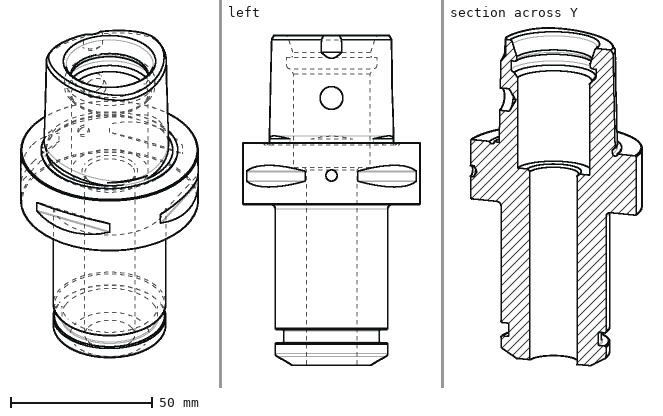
import cadquery as cq
import math

TOTAL_HEIGHT = 117.0
FLANGE_TOP_Z = 79.0
FLANGE_BOTTOM_Z = 57.0
SHANK_BOTTOM_Z = 12.6
RING_TOP_Z = 8.0

FLANGE_RADIUS = 63.0 / 2
FLANGE_CHAMFER = 0.4
SHANK_RADIUS = 40.0 / 2
SHANK_FILLET = 1.5
GROOVE_RADIUS = 34.0 / 2
GROOVE_CHAMFER = 0.5
GROOVE_FILLET = 0.4
NOSE_RADIUS = 28.0 / 2
NOSE_SLOPE_ANGLE = 30.0
NOSE_FILLET = 1.3

TAPER_BOTTOM_Z = 81.3
TAPER_WIDTH = 44.1
TAPER_RATE = 0.045
LOBE_RISE = 1.4
LOBES = 3
OUTLINE_POINTS = 48
TOP_CHAMFER_HEIGHT = 1.5
TOP_CHAMFER_INSET = 0.8

NECK_RADIUS = 22.5
RELIEF_OUTER_RADIUS = 24.2
RELIEF_CONE_HEIGHT = 1.0

MOUTH_OUTER_RADIUS = 16.4
MOUTH_INNER_RADIUS = 15.5
MOUTH_FILLET = 1.4
MOUTH_FILLET_HEIGHT = 1.2
CLAMP_GROOVE_RADIUS = 32.0 / 2
LIP_RADIUS = 13.8
LIP_TOP_Z = 111.0
LIP_HEIGHT = 0.8
LIP_FILLET = 1.0
CLAMP_GROOVE_BOTTOM_Z = 106.5
GROOVE_FLOOR_FILLET = 1.4
SEAT_RADIUS = 14.9
SEAT_Z = 105.2
BORE_RADIUS = 13.6
BORE_TOP_Z = 103.4
BORE_FLOOR_Z = 70.2
THROUGH_RADIUS = 17.8 / 2
THROUGH_CHAMFER = 0.9

DRILL_POINT_ANGLE = 118.0
COOLANT_HOLE_RADIUS = 8.1 / 2
COOLANT_HOLE_Z = 94.8
COOLANT_HOLE_DEPTH = 3.5
MARK_HOLE_RADIUS = 4.0 / 2
MARK_HOLE_Z = 67.3
MARK_HOLE_DEPTH = 1.2
NOTCH_RADIUS = 4.8
NOTCH_INNER_X = -18.1
NOTCH_DEPTH = 6.1
NOTCH_POINT_ANGLE = 84.0

SLOT_COUNT = 4
SLOT_FLOOR_RADIUS = 27.8
SLOT_FLOOR_HEIGHT = 3.5
SLOT_FLOOR_FILLET = 0.4
SLOT_FLANK_ANGLE = 30.0
SLOT_Z = 67.0


def turned_body():
    """Flange, shank, ring groove and coned nose as one revolved section."""
    nose_slope = math.radians(NOSE_SLOPE_ANGLE)
    nose_corner_z = (SHANK_RADIUS - NOSE_RADIUS) * math.tan(nose_slope)
    corner_trim = NOSE_FILLET * math.tan((math.pi / 2 - nose_slope) / 2)
    cone_end_radius = SHANK_RADIUS - corner_trim * math.cos(nose_slope)
    cone_end_z = nose_corner_z - corner_trim * math.sin(nose_slope)
    return (
        cq.Workplane("XZ")
        .moveTo(0, 0)
        .lineTo(NOSE_RADIUS, 0)
        .lineTo(cone_end_radius, cone_end_z)
        .radiusArc((SHANK_RADIUS, nose_corner_z + corner_trim), -NOSE_FILLET)
        .lineTo(SHANK_RADIUS, RING_TOP_Z - GROOVE_CHAMFER)
        .lineTo(SHANK_RADIUS - GROOVE_CHAMFER, RING_TOP_Z)
        .lineTo(GROOVE_RADIUS + GROOVE_FILLET, RING_TOP_Z)
        .radiusArc((GROOVE_RADIUS, RING_TOP_Z + GROOVE_FILLET), GROOVE_FILLET)
        .lineTo(GROOVE_RADIUS, SHANK_BOTTOM_Z - GROOVE_FILLET)
        .radiusArc((GROOVE_RADIUS + GROOVE_FILLET, SHANK_BOTTOM_Z), GROOVE_FILLET)
        .lineTo(SHANK_RADIUS - GROOVE_CHAMFER, SHANK_BOTTOM_Z)
        .lineTo(SHANK_RADIUS, SHANK_BOTTOM_Z + GROOVE_CHAMFER)
        .lineTo(SHANK_RADIUS, FLANGE_BOTTOM_Z - SHANK_FILLET)
        .radiusArc((SHANK_RADIUS + SHANK_FILLET, FLANGE_BOTTOM_Z), SHANK_FILLET)
        .lineTo(FLANGE_RADIUS - FLANGE_CHAMFER, FLANGE_BOTTOM_Z)
        .lineTo(FLANGE_RADIUS, FLANGE_BOTTOM_Z + FLANGE_CHAMFER)
        .lineTo(FLANGE_RADIUS, FLANGE_TOP_Z - FLANGE_CHAMFER)
        .lineTo(FLANGE_RADIUS - FLANGE_CHAMFER, FLANGE_TOP_Z)
        .lineTo(0, FLANGE_TOP_Z)
        .close()
        .revolve(360, (0, 0, 0), (0, 1, 0))
    )


def lobed_wire(width, z):
    """Closed three-lobed outline of the given width, with one lobe pointing along +X."""

    def point(angle):
        reach = width / 2 + LOBE_RISE * math.cos(LOBES * angle)
        slide = LOBES * LOBE_RISE * math.sin(LOBES * angle)
        x = reach * math.cos(angle) + slide * math.sin(angle)
        y = reach * math.sin(angle) - slide * math.cos(angle)
        return cq.Vector(x, y, z)

    points = [point(2 * math.pi * i / OUTLINE_POINTS) for i in range(OUTLINE_POINTS)]
    return cq.Wire.assembleEdges([cq.Edge.makeSpline(points, periodic=True)])


def lobed_taper():
    """Straight foot, long taper and steeper top chamfer, stacked on the flange."""
    chamfer_z = TOTAL_HEIGHT - TOP_CHAMFER_HEIGHT
    chamfer_width = TAPER_WIDTH - TAPER_RATE * (chamfer_z - TAPER_BOTTOM_Z)
    top_width = chamfer_width - 2 * TOP_CHAMFER_INSET
    levels = [
        (TAPER_WIDTH, FLANGE_TOP_Z),
        (TAPER_WIDTH, TAPER_BOTTOM_Z),
        (chamfer_width, chamfer_z),
        (top_width, TOTAL_HEIGHT),
    ]
    wires = [lobed_wire(width, z) for width, z in levels]
    stack = cq.Workplane("XY")
    for lower, upper in zip(wires, wires[1:]):
        stack = stack.add(cq.Solid.makeLoft([lower, upper], True))
    return stack.combine()


def foot_relief():
    """Ring cut that rounds the lobes to the neck and sinks a half-round groove into the flange."""
    cone_bottom_z = TAPER_BOTTOM_Z - RELIEF_CONE_HEIGHT
    groove_radius = (RELIEF_OUTER_RADIUS - NECK_RADIUS) / 2
    return (
        cq.Workplane("XZ")
        .moveTo(NECK_RADIUS, FLANGE_TOP_Z)
        .radiusArc((RELIEF_OUTER_RADIUS, FLANGE_TOP_Z), -groove_radius)
        .lineTo(RELIEF_OUTER_RADIUS, TAPER_BOTTOM_Z)
        .lineTo(TAPER_WIDTH / 2 + LOBE_RISE, TAPER_BOTTOM_Z)
        .lineTo(NECK_RADIUS, cone_bottom_z)
        .close()
        .revolve(360, (0, 0, 0), (0, 1, 0))
    )


def bore():
    """Stepped bore with rounded mouth, tapered lead-in, lip, clamping groove and chamfered through hole."""
    lip_bottom_z = LIP_TOP_Z - LIP_HEIGHT
    groove_top_z = lip_bottom_z - LIP_FILLET
    return (
        cq.Workplane("XZ")
        .moveTo(0, 0)
        .lineTo(THROUGH_RADIUS, 0)
        .lineTo(THROUGH_RADIUS, BORE_FLOOR_Z - THROUGH_CHAMFER)
        .lineTo(THROUGH_RADIUS + THROUGH_CHAMFER, BORE_FLOOR_Z)
        .lineTo(BORE_RADIUS, BORE_FLOOR_Z)
        .lineTo(BORE_RADIUS, BORE_TOP_Z)
        .lineTo(SEAT_RADIUS, SEAT_Z)
        .radiusArc((CLAMP_GROOVE_RADIUS, CLAMP_GROOVE_BOTTOM_Z), -GROOVE_FLOOR_FILLET)
        .lineTo(CLAMP_GROOVE_RADIUS, groove_top_z)
        .lineTo(LIP_RADIUS + LIP_FILLET, groove_top_z)
        .radiusArc((LIP_RADIUS, lip_bottom_z), LIP_FILLET)
        .lineTo(LIP_RADIUS, LIP_TOP_Z)
        .lineTo(MOUTH_INNER_RADIUS, TOTAL_HEIGHT - MOUTH_FILLET_HEIGHT)
        .radiusArc((MOUTH_OUTER_RADIUS, TOTAL_HEIGHT), MOUTH_FILLET)
        .lineTo(0, TOTAL_HEIGHT)
        .close()
        .revolve(360, (0, 0, 0), (0, 1, 0))
    )


def drill(radius, length, tip_height):
    """Drill standing on the XY plane, its body going down and its point below that."""
    return (
        cq.Workplane("XZ")
        .moveTo(0, 0)
        .lineTo(radius, 0)
        .lineTo(radius, -length)
        .lineTo(0, -length - tip_height)
        .close()
        .revolve(360, (0, 0, 0), (0, 1, 0))
    )


def point_height(radius, point_angle):
    return radius / math.tan(math.radians(point_angle / 2))


def side_hole(radius, depth, surface_x, z):
    """Blind hole drilled along +X into the -X side, full diameter to the given depth."""
    start_x = -FLANGE_RADIUS
    length = surface_x + depth - start_x
    tool = drill(radius, length, point_height(radius, DRILL_POINT_ANGLE))
    return tool.rotate((0, 0, 0), (0, 1, 0), -90).translate((start_x, 0, z))


def gripper_slot(angle):
    """Straight slot across the flange rim, widening outward from a flat floor."""
    depth = FLANGE_RADIUS - SLOT_FLOOR_RADIUS
    half_floor = SLOT_FLOOR_HEIGHT / 2
    half_mouth = half_floor + depth * math.tan(math.radians(SLOT_FLANK_ANGLE))
    return (
        cq.Workplane("XZ")
        .polyline(
            [
                (SLOT_FLOOR_RADIUS, SLOT_Z - half_floor),
                (FLANGE_RADIUS, SLOT_Z - half_mouth),
                (FLANGE_RADIUS, SLOT_Z + half_mouth),
                (SLOT_FLOOR_RADIUS, SLOT_Z + half_floor),
            ]
        )
        .close()
        .extrude(FLANGE_RADIUS, both=True)
        .edges("|Y and <X")
        .fillet(SLOT_FLOOR_FILLET)
        .rotate((0, 0, 0), (0, 0, 1), angle)
    )


result = turned_body().union(lobed_taper())
result = result.cut(foot_relief()).cut(bore())

notch = drill(NOTCH_RADIUS, NOTCH_DEPTH, point_height(NOTCH_RADIUS, NOTCH_POINT_ANGLE))
result = result.cut(notch.translate((NOTCH_INNER_X - NOTCH_RADIUS, 0, TOTAL_HEIGHT)))

taper_width_at_hole = TAPER_WIDTH - TAPER_RATE * (COOLANT_HOLE_Z - TAPER_BOTTOM_Z)
taper_flat_x = LOBE_RISE - taper_width_at_hole / 2
result = result.cut(side_hole(COOLANT_HOLE_RADIUS, COOLANT_HOLE_DEPTH, taper_flat_x, COOLANT_HOLE_Z))
result = result.cut(side_hole(MARK_HOLE_RADIUS, MARK_HOLE_DEPTH, -FLANGE_RADIUS, MARK_HOLE_Z))

for index in range(SLOT_COUNT):
    slot_angle = 360 / SLOT_COUNT * (index + 0.5)
    result = result.cut(gripper_slot(slot_angle))